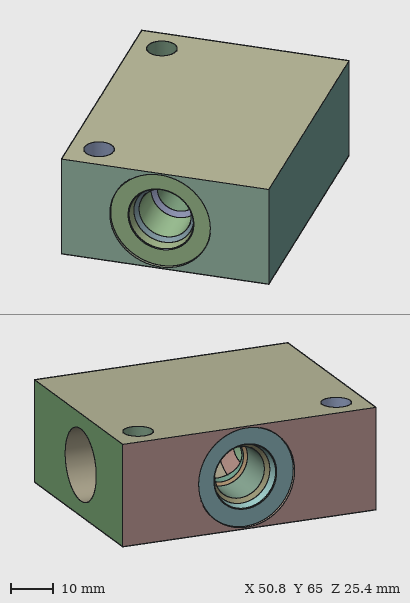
import cadquery as cq
import math

WIDTH = 50.8
LENGTH = 65.0
HEIGHT = 25.4

MOUNT_DIAMETER = 7.15
MOUNT_INSET = 7.1

SPOTFACE_DIAMETER = 24.65
SPOTFACE_DEPTH = 0.8
MOUTH_DIAMETER = 16.1
MOUTH_CHAMFER = 0.2
SEAT_DIAMETER = 14.7
SEAT_DEPTH = 2.35
THREAD_DIAMETER = 12.75
THREAD_DEPTH = 13.0

MAIN_X = -1.25
MAIN_DIAMETER = 10.15
CAVITY_DIAMETER = 17.9
CAVITY_OVERRUN = 1.3
DRILL_HALF_ANGLE = 59.0
SIDE_Y = 0.7
SIDE_DIAMETER = 11.1


def drill_cone_length(large_diameter, small_diameter):
    """Length of a drill-point cone between two diameters."""
    return (large_diameter - small_diameter) / 2 / math.tan(math.radians(DRILL_HALF_ANGLE))


def port(bore_diameter, bore_depth):
    """Stepped port revolved about Z, with its mouth at z = 0 and running up."""
    seat_end = SPOTFACE_DEPTH + SEAT_DEPTH
    thread_end = SPOTFACE_DEPTH + THREAD_DEPTH
    drill_end = thread_end + drill_cone_length(THREAD_DIAMETER, bore_diameter)
    taper_end = seat_end + (SEAT_DIAMETER - THREAD_DIAMETER) / 2
    return (
        cq.Workplane("XZ")
        .lineTo(SPOTFACE_DIAMETER / 2, 0)
        .lineTo(SPOTFACE_DIAMETER / 2, SPOTFACE_DEPTH)
        .lineTo(MOUTH_DIAMETER / 2, SPOTFACE_DEPTH)
        .lineTo(MOUTH_DIAMETER / 2 - MOUTH_CHAMFER, SPOTFACE_DEPTH + MOUTH_CHAMFER)
        .lineTo(SEAT_DIAMETER / 2, seat_end)
        .lineTo(THREAD_DIAMETER / 2, taper_end)
        .lineTo(THREAD_DIAMETER / 2, thread_end)
        .lineTo(bore_diameter / 2, drill_end)
        .lineTo(bore_diameter / 2, bore_depth)
        .lineTo(0, bore_depth)
        .close()
        .revolve(360, (0, 0), (0, 1))
    )


block = cq.Workplane("XY").box(WIDTH, LENGTH, HEIGHT)

main_port = (
    port(MAIN_DIAMETER, LENGTH)
    .rotate((0, 0, 0), (1, 0, 0), -90)
    .translate((MAIN_X, -LENGTH / 2, 0))
)

cavity_floor = SIDE_Y - SIDE_DIAMETER / 2 - CAVITY_OVERRUN
cavity_tip = cavity_floor - drill_cone_length(CAVITY_DIAMETER, 0)
cavity = (
    cq.Workplane("XY")
    .moveTo(0, LENGTH / 2)
    .lineTo(CAVITY_DIAMETER / 2, LENGTH / 2)
    .lineTo(CAVITY_DIAMETER / 2, cavity_floor)
    .lineTo(0, cavity_tip)
    .close()
    .revolve(360, (0, 0), (0, 1))
    .translate((MAIN_X, 0, 0))
)

side_port = (
    port(SIDE_DIAMETER, WIDTH / 2 + MAIN_X)
    .rotate((0, 0, 0), (0, 1, 0), 90)
    .translate((-WIDTH / 2, SIDE_Y, 0))
)

mount_x = -WIDTH / 2 + MOUNT_INSET
mount_points = [
    (mount_x, -LENGTH / 2 + MOUNT_INSET),
    (mount_x, LENGTH / 2 - MOUNT_INSET),
]
mount_holes = (
    cq.Workplane("XY", origin=(0, 0, -HEIGHT / 2))
    .pushPoints(mount_points)
    .circle(MOUNT_DIAMETER / 2)
    .extrude(HEIGHT)
)

result = block.cut(main_port).cut(cavity).cut(side_port).cut(mount_holes)